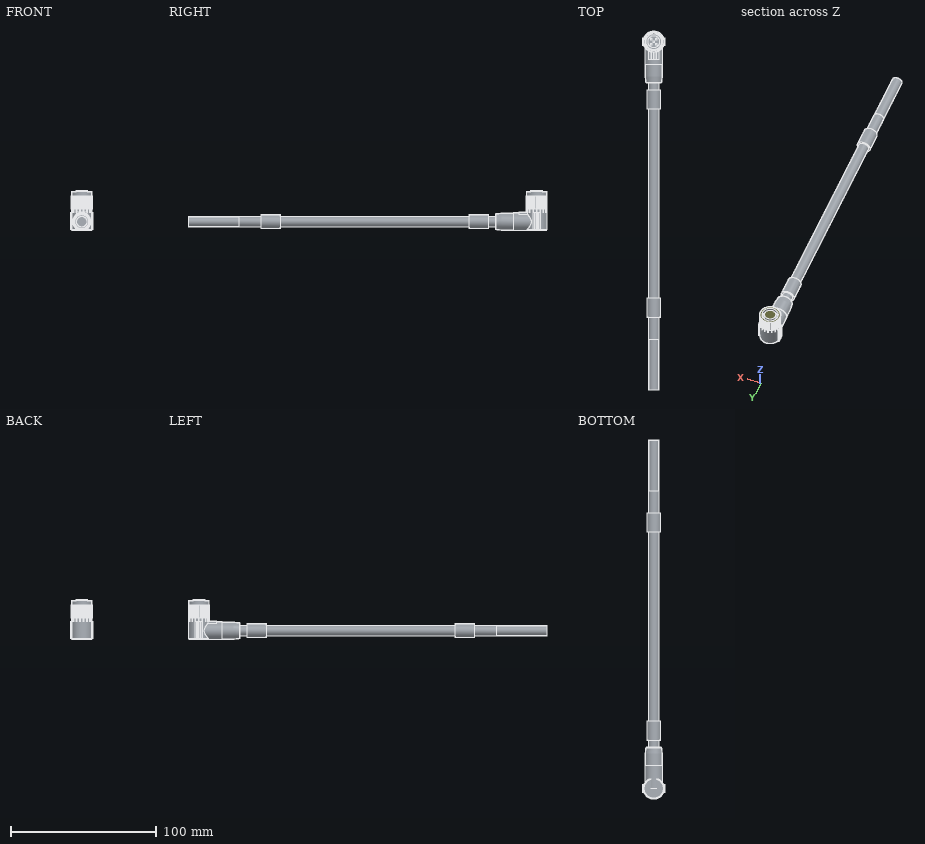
import cadquery as cq


total_length = 247.0
total_height = 27.7

knurl_diameter = 14.5
head_diameter = 14.3
ring_diameter = 14.0
head_bottom = -6.0
head_top = 6.5
knurl_bottom = 9.0
knurl_top = 17.5
ring_top = 20.7
bottom_chamfer = 0.5
groove_count = 36
groove_size = 0.5

socket_diameter = 10.9
socket_depth = 6.2
socket_mouth_chamfer = 0.7
insert_diameter = 8.1
outer_contact_count = 4
contact_diameter = 1.2
contact_circle_diameter = 5.0
contact_depth = 3.7

outlet_diameter = 12.3
collar_diameter = 11.9
outlet_tip_diameter = 10.9
outlet_tip_chamfer = 0.5
outlet_step = -15.8
collar_end = -24.0
outlet_end = -28.5

jacket_diameter = 7.5
core_diameter = 7.2
jacket_end = -204.7
sleeve_diameter = 9.6
sleeve_length = 13.3
sleeve_starts = (-33.0, -176.3)

side_pad_width = 5.2
side_pad_span = 15.3
side_pad_bottom = -5.5
side_pad_grooves = 3
side_groove_width = 0.5
side_groove_depth = 0.5
top_pad_width = 7.0
top_pad_height = 6.7
top_pad_end = -12.0
top_pad_grooves = 3
top_groove_width = 0.2
top_groove_depth = 0.2

cable_end = knurl_diameter / 2 - total_length
insert_top = total_height - outlet_diameter / 2
socket_floor = ring_top - socket_depth


def upright(diameter, bottom, top):
    """Cylinder about the head axis."""
    return cq.Workplane("XY").workplane(offset=bottom).circle(diameter / 2).extrude(top - bottom)


def along_cable(diameter, start, end):
    """Cylinder about the cable axis, running from start toward -Y."""
    return cq.Workplane("XZ", origin=(0, start, 0)).circle(diameter / 2).extrude(start - end)


def block(x_range, y_range, z_range):
    """Axis-aligned box between the given limits."""
    sizes = [high - low for low, high in (x_range, y_range, z_range)]
    corner = (x_range[0], y_range[0], z_range[0])
    return cq.Workplane("XY").box(*sizes, centered=False).translate(corner)


def groove_places(width, count):
    """Evenly spaced groove centres across a pad."""
    pitch = width / (count + 1)
    return [(i + 1) * pitch - width / 2 for i in range(count)]


def flutes(diameter, bottom, top, count):
    """Upright square bars, set corner-in, that cut V grooves around a cylinder."""
    return (
        cq.Workplane("XY")
        .workplane(offset=bottom)
        .polarArray(diameter / 2, 0, 360, count)
        .polygon(4, groove_size)
        .extrude(top - bottom)
    )


def make_head():
    """Round head, fluted neck, knurled nut and plain top ring."""
    head = upright(head_diameter, head_bottom, knurl_bottom).faces("<Z").chamfer(bottom_chamfer)
    head = head.cut(flutes(head_diameter, head_top, knurl_bottom, groove_count // 2))
    nut = upright(knurl_diameter, knurl_bottom, knurl_top)
    nut = nut.cut(flutes(knurl_diameter, knurl_bottom, knurl_top, groove_count))
    return head.union(nut).union(upright(ring_diameter, knurl_top, ring_top))


def make_insert():
    """Contact carrier standing in the socket, with its contact holes."""
    insert = upright(insert_diameter, socket_floor, insert_top)
    holes = (
        cq.Workplane("XY")
        .workplane(offset=insert_top - contact_depth)
        .polarArray(contact_circle_diameter / 2, 180 / outer_contact_count, 360, outer_contact_count)
        .circle(contact_diameter / 2)
        .extrude(contact_depth)
    )
    centre_hole = upright(contact_diameter, insert_top - contact_depth, insert_top)
    return insert.cut(holes).cut(centre_hole)


def make_outlet():
    """Cable outlet: thick root, slightly thinner collar and tapered, chamfered tip."""
    tip_length = collar_end - outlet_end
    tip = (
        cq.Workplane("XZ", origin=(0, collar_end, 0))
        .circle(collar_diameter / 2)
        .workplane(offset=tip_length)
        .circle(outlet_tip_diameter / 2)
        .loft(ruled=True)
        .faces("<Y")
        .chamfer(outlet_tip_chamfer)
    )
    root = along_cable(outlet_diameter, 0, outlet_step)
    return root.union(along_cable(collar_diameter, outlet_step, collar_end)).union(tip)


def make_cable():
    """Jacketed cable with a slightly thinner free end and two sleeves."""
    cable = along_cable(jacket_diameter, collar_end, jacket_end)
    cable = cable.union(along_cable(core_diameter, jacket_end, cable_end))
    for start in sleeve_starts:
        cable = cable.union(along_cable(sleeve_diameter, start, start - sleeve_length))
    return cable


def make_side_pads():
    """Grip pads on both X sides of the head, with upright grooves."""
    half_span = side_pad_span / 2
    half_width = side_pad_width / 2
    height = (side_pad_bottom, head_top)
    pads = block((-half_span, half_span), (-half_width, half_width), height)
    for y in groove_places(side_pad_width, side_pad_grooves):
        groove = (y - side_groove_width / 2, y + side_groove_width / 2)
        floor = half_span - side_groove_depth
        pads = pads.cut(block((-half_span, -floor), groove, height))
        pads = pads.cut(block((floor, half_span), groove, height))
    return pads


def make_top_pad():
    """Grip pad on top of the outlet, beside the head, with grooves along the cable."""
    half_width = top_pad_width / 2
    length = (top_pad_end, 0)
    pad = block((-half_width, half_width), length, (0, top_pad_height))
    for x in groove_places(top_pad_width, top_pad_grooves):
        groove = (x - top_groove_width / 2, x + top_groove_width / 2)
        groove_run = (top_pad_end + top_groove_width, 0)
        pad = pad.cut(block(groove, groove_run, (top_pad_height - top_groove_depth, top_pad_height)))
    return pad


def make_socket():
    """Volume of the open socket, flared at its mouth."""
    flare = socket_mouth_chamfer
    bore = upright(socket_diameter, socket_floor, ring_top)
    mouth = (
        cq.Workplane("XY")
        .workplane(offset=ring_top - flare)
        .circle(socket_diameter / 2)
        .workplane(offset=flare)
        .circle(socket_diameter / 2 + flare)
        .loft(ruled=True)
    )
    return bore.union(mouth)


result = (
    make_head()
    .cut(make_socket())
    .union(make_insert())
    .union(make_outlet())
    .union(make_cable())
    .union(make_side_pads())
    .union(make_top_pad())
)